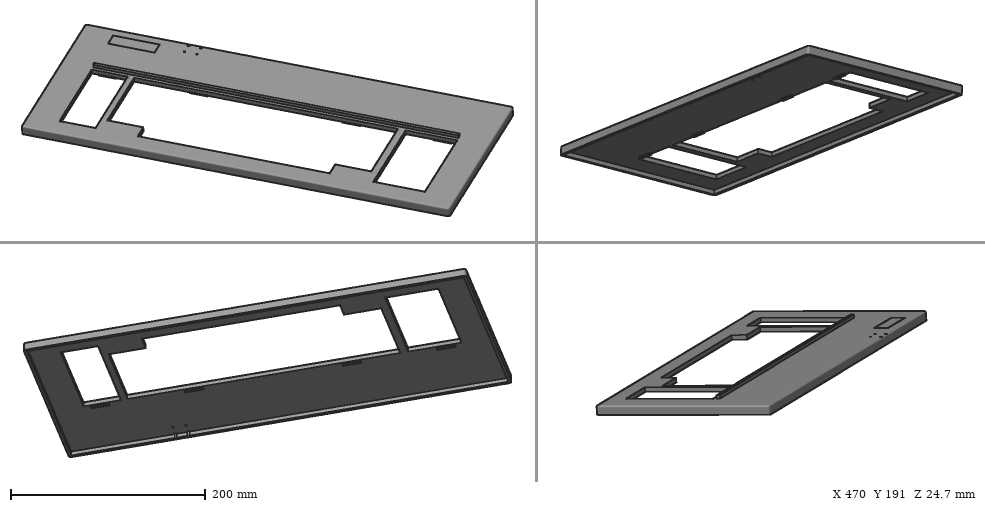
import cadquery as cq

WIDTH = 470.0
DEPTH = 191.0
HEIGHT = 9.9
TILT = 4.5
CORNER_RADIUS = 3.0
EDGE_RADIUS = 2.0
PLATE_THICKNESS = 5.0
WALL_THICKNESS = 3.0
PLATE_UNDERSIDE = HEIGHT - PLATE_THICKNESS

WINDOW_FRONT = 21.0
WINDOW_REAR = 116.5
WINDOW_SPAN = 401.0
LEFT_WINDOW_WIDTH = 39.5
RIGHT_WINDOW_WIDTH = 56.5
MAIN_WINDOW_LEFT = -154.0
MAIN_WINDOW_RIGHT = 135.5
CORNER_STEP_WIDTH = 39.5
CORNER_STEP_DEPTH = 16.5

RIDGE_FRONT = 120.5
RIDGE_WIDTH = 3.5
RIDGE_HEIGHT = 3.5

LABEL_LEFT = -WINDOW_SPAN / 2
LABEL_FRONT = 165.0
LABEL_WIDTH = 51.0
LABEL_DEPTH = 15.0
LABEL_RECESS = 0.3

HOLE_COLUMNS = (-121.0, -107.3)
NARROW_HOLE_DIAMETER = 1.6
NARROW_HOLE_ROW = 176.3
WIDE_HOLE_DIAMETER = 2.5
WIDE_HOLE_ROW = 188.0
HOLE_SKIN = 0.4

TAB_CENTERS = (83.75, 183.75)
TAB_WIDTH = 19.5
TAB_DEPTH = 3.0
TAB_DROP = 1.5
TAB_SETBACK = 0.8


def block(left, front, bottom, width, depth, height):
    """Box placed by its left, front, bottom corner."""
    return cq.Workplane("XY").box(width, depth, height, centered=False).translate((left, front, bottom))


def shell():
    """Lid with rounded corners and top edge, open underneath."""
    outer = block(-WIDTH / 2, 0, 0, WIDTH, DEPTH, HEIGHT)
    outer = outer.edges("|Z").fillet(CORNER_RADIUS).faces(">Z").edges().fillet(EDGE_RADIUS)
    inside = block(
        -WIDTH / 2 + WALL_THICKNESS,
        WALL_THICKNESS,
        0,
        WIDTH - 2 * WALL_THICKNESS,
        DEPTH - 2 * WALL_THICKNESS,
        PLATE_UNDERSIDE,
    )
    return outer.cut(inside)


def window(left, right):
    """Rectangular opening through the plate."""
    return block(left, WINDOW_FRONT, 0, right - left, WINDOW_REAR - WINDOW_FRONT, HEIGHT)


def main_window():
    """Central opening whose two front corners are left filled."""
    opening = window(MAIN_WINDOW_LEFT, MAIN_WINDOW_RIGHT)
    for left in (MAIN_WINDOW_LEFT, MAIN_WINDOW_RIGHT - CORNER_STEP_WIDTH):
        opening = opening.cut(block(left, WINDOW_FRONT, 0, CORNER_STEP_WIDTH, CORNER_STEP_DEPTH, HEIGHT))
    return opening


def indicator_hole(center_x, center_y, diameter):
    """Round blind hole, from below, that leaves a thin skin at the top face."""
    return cq.Workplane("XY").center(center_x, center_y).circle(diameter / 2).extrude(HEIGHT - HOLE_SKIN)


def tab(center_x):
    """Short tab under the plate, set back from the rear edge of the windows."""
    left = center_x - TAB_WIDTH / 2
    return block(left, WINDOW_REAR + TAB_SETBACK, PLATE_UNDERSIDE - TAB_DROP, TAB_WIDTH, TAB_DEPTH, TAB_DROP)


span_end = WINDOW_SPAN / 2
lid = shell()
lid = lid.cut(window(-span_end, -span_end + LEFT_WINDOW_WIDTH))
lid = lid.cut(window(span_end - RIGHT_WINDOW_WIDTH, span_end))
lid = lid.cut(main_window())
lid = lid.union(
    block(-span_end, RIDGE_FRONT, PLATE_UNDERSIDE, WINDOW_SPAN, RIDGE_WIDTH, PLATE_THICKNESS + RIDGE_HEIGHT)
)
lid = lid.cut(block(LABEL_LEFT, LABEL_FRONT, HEIGHT - LABEL_RECESS, LABEL_WIDTH, LABEL_DEPTH, LABEL_RECESS))
for column in HOLE_COLUMNS:
    lid = lid.cut(indicator_hole(column, NARROW_HOLE_ROW, NARROW_HOLE_DIAMETER))
    lid = lid.cut(indicator_hole(column, WIDE_HOLE_ROW, WIDE_HOLE_DIAMETER))
for center in TAB_CENTERS:
    lid = lid.union(tab(-center)).union(tab(center))

result = lid.rotate((0, 0, 0), (1, 0, 0), TILT)